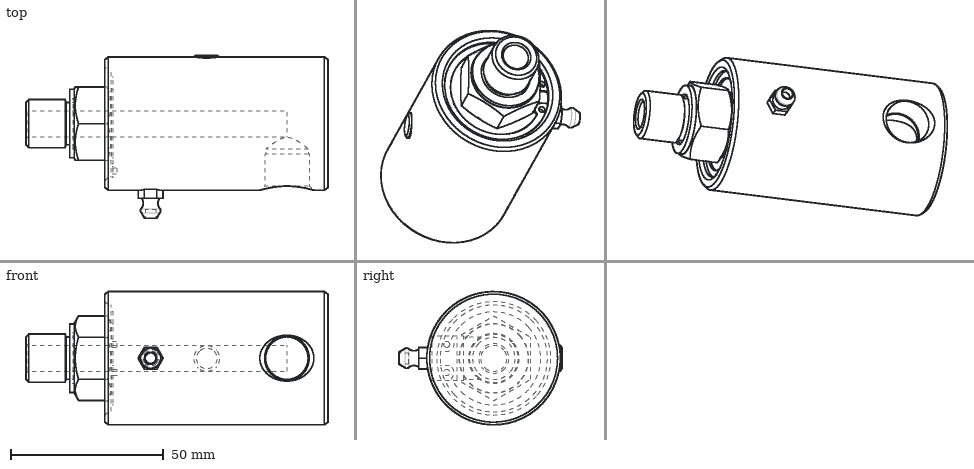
import cadquery as cq
import math


total_length = 98.89
housing_start = 25.8
housing_diameter = 43.7
housing_radius = housing_diameter / 2
housing_chamfer_length = 1.2
housing_chamfer_height = 0.9

recess_diameter = 35.08
recess_mouth_diameter = 37.25
recess_chamfer = (recess_mouth_diameter - recess_diameter) / 2
ring_thickness = 0.7
ring_face_depth = 2.0
recess_depth = ring_face_depth + ring_thickness

ring_inner_diameter = 30.6
ring_gap = 4.5
lug_diameter = 4.7
lug_hole_diameter = 1.98
lug_hole_depth = 2.0
lug_center_y = -15.4
lug_center_z = (lug_diameter + ring_gap) / 2
lug_points = [(lug_center_y, -lug_center_z), (lug_center_y, lug_center_z)]

thread_diameter = 15.84
thread_length = 12.8
thread_chamfer = 1.0
undercut_start = 13.2
undercut_diameter = 13.89
collar_start = 14.3
collar_diameter = 22.5
collar_groove_diameter = 16.5
collar_groove_depth = 1.0
hex_start = 15.8
hex_end = 28.0
hex_across_flats = 24.0
hex_chamfer_start_diameter = 22.8
hex_chamfer_angle = 30.0
bore_diameter = 8.5
bore_countersink = 0.65

port_x = 85.4
port_drill_diameter = 13.89
port_thread_diameter = 14.6
port_thread_depth = 12.0
port_countersink_diameter = 17.7
port_countersink_angle = 90.0
core_diameter = 16.5

grease_x = 40.8
grease_tip_y = -31.0
grease_hex_end_y = -24.5
grease_hex_across_flats = 7.1
grease_neck_end_y = -27.8
grease_ball_end_y = -29.1
grease_neck_diameter = 5.94
grease_waist_diameter = 4.9
grease_ball_diameter = 6.71
grease_ball_edge_diameter = 6.2
grease_tip_diameter = 4.0
grease_hole_diameter = 3.5
grease_hole_depth = 3.0
grease_root_depth = 3.0

plug_x = 59.1
plug_face_y = 22.45
plug_face_diameter = 6.71
plug_base_diameter = 8.4


def x_cylinder(diameter, start, end):
    """Cylinder on the X axis between two X positions."""
    return cq.Workplane("YZ", origin=(start, 0, 0)).circle(diameter / 2).extrude(end - start)


def revolve_about_x(profile):
    """Solid of revolution about X from (X, radius) points."""
    return cq.Workplane("XY").polyline(profile).close().revolve(360, (0, 0), (1, 0))


def y_cylinder(diameter, x, start, end):
    """Cylinder parallel to Y at a given X, between two Y positions."""
    return cq.Workplane("XZ", origin=(x, start, 0)).circle(diameter / 2).extrude(start - end)


def corner_diameter(across_flats):
    """Diameter across the corners of a hexagon."""
    return across_flats / math.cos(math.pi / 6)


def make_housing():
    r = housing_radius
    inner = r - housing_chamfer_height
    start_edge = housing_start + housing_chamfer_length
    end_edge = total_length - housing_chamfer_length
    floor = housing_start + recess_depth
    mouth = housing_start + recess_chamfer
    profile = [
        (floor, 0),
        (floor, recess_diameter / 2),
        (mouth, recess_diameter / 2),
        (housing_start, recess_mouth_diameter / 2),
        (housing_start, inner),
        (start_edge, r),
        (end_edge, r),
        (total_length, inner),
        (total_length, 0),
    ]
    return revolve_about_x(profile)


def make_retaining_ring():
    face = housing_start + ring_face_depth
    back = face + ring_thickness
    outer = x_cylinder(recess_diameter, face, back)
    ring = outer.cut(x_cylinder(ring_inner_diameter, face, back))
    plane = cq.Workplane("YZ", origin=(face, 0, 0))
    for y, z in lug_points:
        lug = plane.center(y, z).circle(lug_diameter / 2).extrude(ring_thickness)
        web = plane.center(y - lug_diameter / 2, z).rect(lug_diameter, lug_diameter).extrude(ring_thickness)
        ring = ring.union(lug.union(web).intersect(outer))
    gap = plane.center(-recess_diameter / 2, 0).rect(recess_diameter / 2, ring_gap).extrude(ring_thickness)
    return ring.cut(gap)


def make_lug_holes():
    face = housing_start + ring_face_depth
    return (
        cq.Workplane("YZ", origin=(face, 0, 0))
        .pushPoints(lug_points)
        .circle(lug_hole_diameter / 2)
        .extrude(lug_hole_depth)
    )


def make_hexagon():
    corners = corner_diameter(hex_across_flats)
    prism = (
        cq.Workplane("YZ", origin=(hex_start, 0, 0))
        .transformed(rotate=(0, 0, 90))
        .polygon(6, corners)
        .extrude(hex_end - hex_start)
    )
    taper_height = (corners - hex_chamfer_start_diameter) / 2
    taper_length = taper_height * math.tan(math.radians(hex_chamfer_angle))
    envelope = [
        (hex_start, 0),
        (hex_start, hex_chamfer_start_diameter / 2),
        (hex_start + taper_length, corners / 2),
        (hex_end - taper_length, corners / 2),
        (hex_end, hex_chamfer_start_diameter / 2),
        (hex_end, 0),
    ]
    return prism.intersect(revolve_about_x(envelope))


def make_nipple():
    """Threaded end, relief groove and collar, joined to the hexagon."""
    thread_radius = thread_diameter / 2
    undercut_radius = undercut_diameter / 2
    collar_radius = collar_diameter / 2
    groove_radius = collar_groove_diameter / 2
    groove_floor = collar_start + collar_groove_depth
    end = housing_start + recess_depth
    profile = [
        (0, 0),
        (0, thread_radius - thread_chamfer),
        (thread_chamfer, thread_radius),
        (thread_length, thread_radius),
        (undercut_start, undercut_radius),
        (groove_floor, undercut_radius),
        (groove_floor, groove_radius),
        (collar_start, groove_radius),
        (collar_start, collar_radius),
        (end, collar_radius),
        (end, 0),
    ]
    return revolve_about_x(profile).union(make_hexagon())


def make_bore():
    mouth_radius = bore_diameter / 2 + bore_countersink
    profile = [
        (0, 0),
        (0, mouth_radius),
        (bore_countersink, bore_diameter / 2),
        (port_x, bore_diameter / 2),
        (port_x, 0),
    ]
    return revolve_about_x(profile)


def make_port():
    """Countersunk, stepped hole that ends on the cylindrical core around the bore."""
    mouth_radius = port_countersink_diameter / 2
    thread_radius = port_thread_diameter / 2
    drill_radius = port_drill_diameter / 2
    half_angle = math.radians(port_countersink_angle / 2)
    countersink_end = (mouth_radius - thread_radius) / math.tan(half_angle) - housing_radius
    thread_end = port_thread_depth - housing_radius
    profile = [
        (port_x, 0),
        (port_x, -housing_radius),
        (port_x + mouth_radius, -housing_radius),
        (port_x + thread_radius, countersink_end),
        (port_x + thread_radius, thread_end),
        (port_x + drill_radius, thread_end),
        (port_x + drill_radius, 0),
    ]
    hole = cq.Workplane("XY").polyline(profile).close().revolve(360, (port_x, 0), (port_x, 1))
    return hole.cut(x_cylinder(core_diameter, housing_start, total_length))


def make_grease_nipple():
    root_y = grease_root_depth - housing_radius
    hexagon = (
        cq.Workplane("XZ", origin=(grease_x, root_y, 0))
        .polygon(6, corner_diameter(grease_hex_across_flats))
        .extrude(root_y - grease_hex_end_y)
    )
    neck_middle_y = (grease_hex_end_y + grease_neck_end_y) / 2
    ball_middle_y = (grease_neck_end_y + grease_ball_end_y) / 2
    stem = (
        cq.Workplane("XY")
        .moveTo(grease_x, root_y)
        .lineTo(grease_x + grease_neck_diameter / 2, root_y)
        .lineTo(grease_x + grease_neck_diameter / 2, grease_hex_end_y)
        .threePointArc(
            (grease_x + grease_waist_diameter / 2, neck_middle_y),
            (grease_x + grease_ball_edge_diameter / 2, grease_neck_end_y),
        )
        .threePointArc(
            (grease_x + grease_ball_diameter / 2, ball_middle_y),
            (grease_x + grease_ball_edge_diameter / 2, grease_ball_end_y),
        )
        .lineTo(grease_x + grease_tip_diameter / 2, grease_tip_y)
        .lineTo(grease_x, grease_tip_y)
        .close()
        .revolve(360, (grease_x, 0), (grease_x, 1))
    )
    hole = y_cylinder(grease_hole_diameter, grease_x, grease_tip_y + grease_hole_depth, grease_tip_y)
    return hexagon.union(stem).cut(hole)


def make_plug():
    taper = (plug_base_diameter - plug_face_diameter) / 2
    plug = y_cylinder(plug_base_diameter, plug_x, plug_face_y, recess_diameter / 2)
    return plug.faces(">Y").chamfer(plug_face_y - housing_radius, taper)


result = (
    make_housing()
    .union(make_nipple())
    .union(make_retaining_ring())
    .cut(make_lug_holes())
    .cut(make_bore())
    .cut(make_port())
    .union(make_grease_nipple())
    .union(make_plug())
)